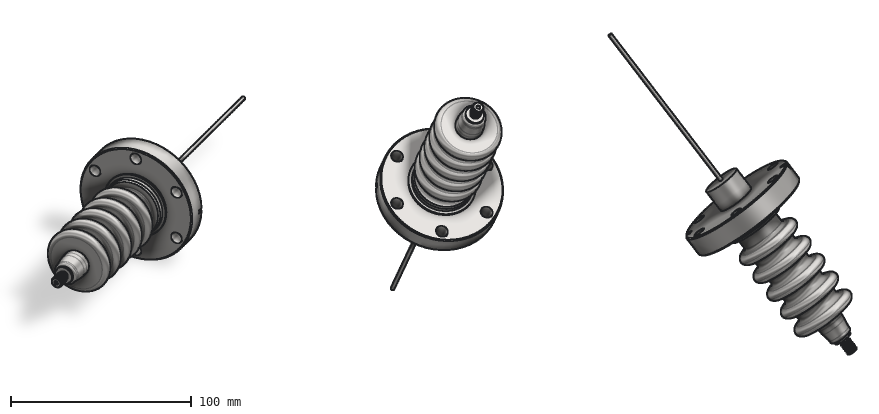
import cadquery as cq
import math


total_length = 225.5
front_length = 95.9

flange_radius = 35.0
flange_thickness = 12.6
flange_chamfer = 0.7
bolt_count = 6
bolt_circle_radius = 29.3
bolt_hole_radius = 3.4

notch_width = 1.8
notch_round = 4.5

sleeve_radius = 10.5
sleeve_length = 13.5
rod_radius = 1.1

collar_radius = 19.2
collar_length = 1.4
seat_radius = 17.4
seat_length = 4.0
seat_chamfer_length = 1.4
seat_chamfer_depth = 0.7
neck_corner_radius = 0.7

rib_count = 5
rib_radius = 19.2
rib_round = 3.2
first_rib_y = -17.5
rib_span = 50.7
rib_pitch = rib_span / (rib_count - 1)
valley_round = rib_pitch / 2 - rib_round
rib_center_radius = rib_radius - rib_round
neck_radius = rib_center_radius - valley_round
neck_fillet = 2.3

cap_radius = 8.0
cap_base_length = 3.2
cap_lip_radius = 7.7
cap_lip_length = 2.7
cap_front_radius = 6.8
cap_taper_length = 5.5
cap_land_length = 1.4
shoulder_round = 1.4
nose_radius = 5.2
nose_length = 1.4

pin_radius = 2.7
thread_radius = 3.2
thread_count = 6
thread_length = 7.5
thread_pitch = thread_length / thread_count
crest_width = 0.2
center_hole_radius = 1.1
center_hole_depth = 1.1

tip_y = -front_length
rod_end_y = tip_y + total_length
sleeve_end_y = flange_thickness + sleeve_length
seat_front_y = -collar_length - seat_length
last_rib_y = first_rib_y - rib_span
cap_start_y = last_rib_y - rib_round
cap_lip_y = cap_start_y - cap_base_length
cap_taper_y = cap_lip_y - cap_lip_length
cap_land_y = cap_taper_y - cap_taper_length
shoulder_y = cap_land_y - cap_land_length
nose_start_y = shoulder_y - shoulder_round
nose_end_y = nose_start_y - nose_length
thread_start_y = tip_y + thread_length
center_hole_y = tip_y + center_hole_depth

quarter = math.sqrt(0.5)


def disc(radius, y_start, y_end):
    """Solid cylinder on the Y axis between two Y positions."""
    return cq.Workplane("XZ", origin=(0, y_end, 0)).circle(radius).extrude(y_end - y_start)


def make_notch(side):
    """Cutter that rounds over a narrow strip of the back corner on the -X or +X side."""
    corner_x = side * flange_radius
    center_x = side * (flange_radius - notch_round)
    center_y = flange_thickness - notch_round
    floor_middle = (center_x + side * notch_round * quarter, center_y + notch_round * quarter)
    return (
        cq.Workplane("XY")
        .moveTo(corner_x, center_y)
        .threePointArc(floor_middle, (center_x, flange_thickness))
        .lineTo(corner_x, flange_thickness)
        .close()
        .extrude(notch_width / 2, both=True)
    )


def make_flange():
    flange = disc(flange_radius, 0, flange_thickness).edges().chamfer(flange_chamfer)
    holes = (
        cq.Workplane("XZ", origin=(0, flange_thickness, 0))
        .polarArray(bolt_circle_radius, 90, 360, bolt_count)
        .circle(bolt_hole_radius)
        .extrude(flange_thickness)
    )
    flange = flange.cut(holes)
    for side in (-1, 1):
        flange = flange.cut(make_notch(side))
    return flange


def make_front_body():
    """Collar, ribbed insulator, end cap and terminal as one turned profile of (radius, Y)."""
    profile = (
        cq.Workplane("XY")
        .moveTo(0, 0)
        .lineTo(collar_radius, 0)
        .lineTo(collar_radius, -collar_length)
        .lineTo(seat_radius, -collar_length)
        .lineTo(seat_radius, seat_front_y + seat_chamfer_length)
        .lineTo(seat_radius - seat_chamfer_depth, seat_front_y)
        .lineTo(neck_radius + neck_corner_radius, seat_front_y)
        .radiusArc((neck_radius, seat_front_y - neck_corner_radius), -neck_corner_radius)
    )

    rib_back_y = first_rib_y + rib_round
    profile = (
        profile.lineTo(neck_radius, rib_back_y + neck_fillet)
        .radiusArc((neck_radius + neck_fillet, rib_back_y), -neck_fillet)
        .lineTo(rib_center_radius, rib_back_y)
    )
    for index in range(rib_count):
        rib_y = first_rib_y - index * rib_pitch
        profile = profile.radiusArc((rib_radius, rib_y), rib_round)
        profile = profile.radiusArc((rib_center_radius, rib_y - rib_round), rib_round)
        if index < rib_count - 1:
            profile = profile.threePointArc(
                (neck_radius, rib_y - rib_pitch / 2),
                (rib_center_radius, rib_y - rib_pitch + rib_round),
            )

    profile = (
        profile.lineTo(cap_radius, cap_start_y)
        .lineTo(cap_radius, cap_lip_y)
        .lineTo(cap_lip_radius, cap_taper_y)
        .lineTo(cap_front_radius, cap_land_y)
        .lineTo(cap_front_radius, shoulder_y)
        .threePointArc(
            (
                cap_front_radius - shoulder_round * (1 - quarter),
                shoulder_y - shoulder_round * quarter,
            ),
            (cap_front_radius - shoulder_round, nose_start_y),
        )
        .lineTo(nose_radius, nose_start_y)
        .lineTo(nose_radius, nose_end_y)
        .lineTo(pin_radius, nose_end_y)
    )

    for index in range(thread_count):
        root_y = thread_start_y - index * thread_pitch
        crest_y = root_y - thread_pitch / 2
        profile = (
            profile.lineTo(pin_radius, root_y)
            .lineTo(thread_radius, crest_y + crest_width / 2)
            .lineTo(thread_radius, crest_y - crest_width / 2)
        )
    profile = (
        profile.lineTo(pin_radius, tip_y)
        .lineTo(center_hole_radius, tip_y)
        .lineTo(center_hole_radius, center_hole_y)
        .lineTo(0, center_hole_y)
        .close()
    )
    return profile.revolve(360, (0, 0, 0), (0, 1, 0))


result = (
    make_flange()
    .union(make_front_body())
    .union(disc(sleeve_radius, flange_thickness, sleeve_end_y))
    .union(disc(rod_radius, sleeve_end_y, rod_end_y))
)